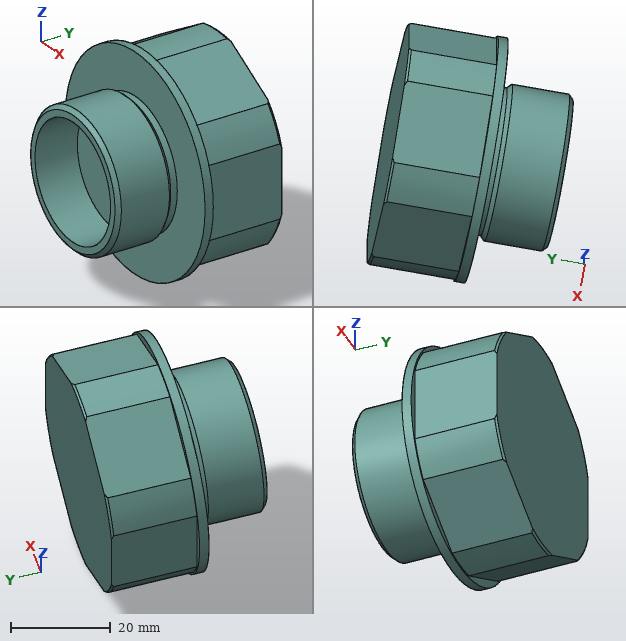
import cadquery as cq
import math

spigot_length = 13.5
neck_length = 1.6
flange_thickness = 2.0
total_length = 35.0
bore_depth = 10.25

spigot_diameter = 32.0
neck_diameter = 30.15
flange_diameter = 50.0
bore_diameter = 27.0

across_flats = 46.15
corner_diameter = 49.15
corner_chamfer_depth = 0.3
corner_chamfer_length = 0.5

flange_start = spigot_length + neck_length
hexagon_start = flange_start + flange_thickness
hexagon_length = total_length - hexagon_start
spigot_chamfer = (spigot_diameter - neck_diameter) / 2


def cylinder(diameter, start, length):
    """Solid cylinder about the Y axis, running towards +Y from start."""
    plane = cq.Workplane("XZ", origin=(0, start, 0))
    return plane.circle(diameter / 2).extrude(-length)


def rounded_hexagon():
    """Hexagon with flats facing +X and -X, its corners rounded and chamfered at the end."""
    across_corners = across_flats / math.cos(math.pi / 6)
    hexagon = (
        cq.Workplane("XZ", origin=(0, hexagon_start, 0))
        .transformed(rotate=(0, 0, 30))
        .polygon(6, across_corners)
        .extrude(-hexagon_length)
    )
    envelope = (
        cylinder(corner_diameter, hexagon_start, hexagon_length)
        .faces(">Y")
        .edges()
        .chamfer(corner_chamfer_length, corner_chamfer_depth)
    )
    return hexagon.intersect(envelope)


spigot = cylinder(spigot_diameter, 0, spigot_length).edges("%CIRCLE").chamfer(spigot_chamfer)
neck = cylinder(neck_diameter, spigot_length, neck_length)
flange = cylinder(flange_diameter, flange_start, flange_thickness)

body = spigot.union(neck).union(flange).union(rounded_hexagon())

result = body.cut(cylinder(bore_diameter, 0, bore_depth))